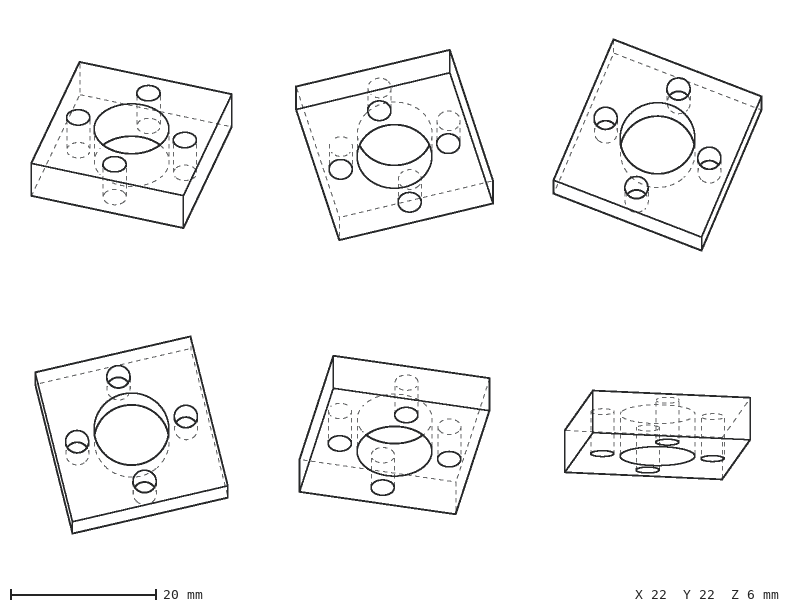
import cadquery as cq

side = 22.0
thickness = 6.0

bore_diameter = 10.3
bolt_hole_diameter = 3.2
bolt_circle_diameter = 15.4
bolt_hole_count = 4

plate = cq.Workplane("XY").box(side, side, thickness)

plate = plate.faces(">Z").workplane().hole(bore_diameter)

result = (
    plate.faces(">Z")
    .workplane()
    .polarArray(bolt_circle_diameter / 2, 0, 360, bolt_hole_count)
    .hole(bolt_hole_diameter)
)